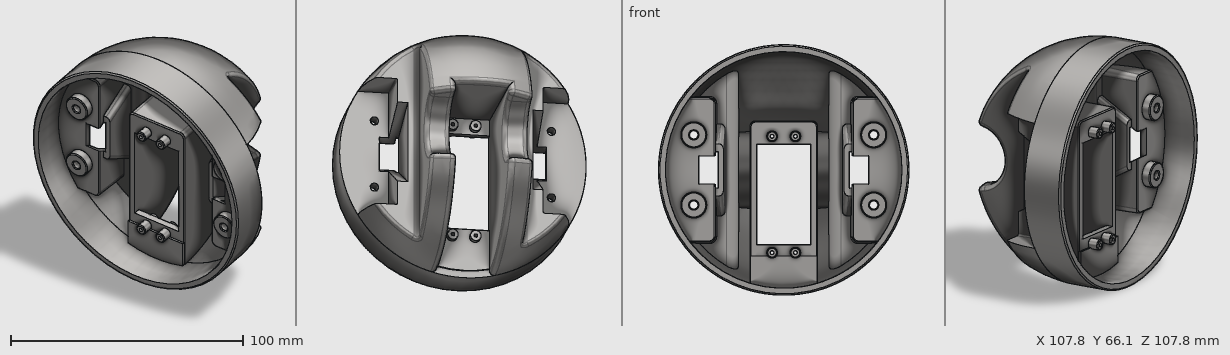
import cadquery as cq
import math

outer_radius = 53.9
wall = 3.0
inner_radius = outer_radius - wall
rim_length = 18.2
rim_chamfer = 0.6
dome_center_y = 16.3
far = 2 * outer_radius
tolerance = 0.001

flank_x = 22.6
flank_draft = 0.7
shelf_y = 36.0
shelf_inner_radius = 2.0
edge_radius = 2.0

notch_radius = 13.4
notch_center_y = 63.4
notch_flare = 14.0

servo_half_width = 11.5
servo_top_z = 18.1
servo_plate_front_y = 16.2
servo_plate_back_y = servo_plate_front_y + wall
servo_corner_radius = 2.5
servo_edge_chamfer = 0.5
foot_top_z = -37.0
foot_front_y = 15.2
foot_inset = 0.2
window_center_z = -10.6
window_height = 43.1

tube_spacing_x = 10.0
tube_spacing_z = 50.0
tube_diameter = 4.6
tube_hole_diameter = 1.5
tube_front_y = 11.4
tube_back_y = 21.7
tube_chamfer = 0.4

plate_front_y = rim_length - wall
pocket_half_height = 28.0
pocket_x = 32.4
pocket_draft = 2.0
pocket_corner_radius = 2.5
pocket_inner_corner_radius = 0.2
plate_chamfer = 0.5

boss_x = 38.7
boss_z = 15.1
boss_diameter = 11.2
boss_hole_diameter = 3.6
boss_front_y = 11.2
boss_chamfer = 0.4

recess_outer_x = 36.5
recess_floor_x = 28.3
recess_slant = 30.0
recess_back_half_height = 18.0
recess_wall = 2.4
recess_corner_radius = 2.0
recess_tilt = 1.0


def block(x_range, y_range, z_range):
    """Axis-aligned box between the given limits."""
    (x0, x1), (y0, y1), (z0, z1) = x_range, y_range, z_range
    return cq.Workplane("XY").box(x1 - x0, y1 - y0, z1 - z0, centered=False).translate((x0, y0, z0))


def rod(x, z, diameter, y0, y1):
    """Cylinder along Y from y0 to y1."""
    return cq.Workplane("XZ", origin=(x, y0, z)).circle(diameter / 2).extrude(y0 - y1)


def both_sides(shape):
    """The shape together with its mirror image in the YZ plane."""
    return shape.union(shape.mirror("YZ"))


def ball(radius):
    """Sphere around the centre of the dome."""
    return cq.Workplane("XY").sphere(radius).translate((0, dome_center_y, 0))


def flank_cut(x, y, radius):
    """Everything outside a drafted flank and behind a shelf, with a rounded foot."""
    top_x = x - (far - y) * math.tan(math.radians(flank_draft))
    cut = (
        cq.Workplane("XY", origin=(0, 0, -far))
        .polyline([(x, y), (far, y), (far, far), (top_x, far)])
        .close()
        .extrude(2 * far)
    )
    foot = cq.selectors.NearestToPointSelector((x, y, 0))
    return both_sides(cut.edges(foot).fillet(radius))


def crown_notch(offset):
    """Trough along X: a round bottom that runs into straight, slightly flared flanks."""
    radius = notch_radius + offset
    flare = math.radians(notch_flare)
    seam_y = notch_center_y - radius * math.sin(flare)
    seam_z = radius * math.cos(flare)
    mouth_z = seam_z + (far - seam_y) * math.tan(flare)
    return (
        cq.Workplane("YZ", origin=(-far, 0, 0))
        .moveTo(far, -mouth_z)
        .lineTo(seam_y, -seam_z)
        .threePointArc((notch_center_y - radius, 0), (seam_y, seam_z))
        .lineTo(far, mouth_z)
        .close()
        .extrude(2 * far)
    )


def edge_points(edge):
    """Sample points along an edge."""
    return [edge.positionAt(t) for t in (0, 1 / 3, 2 / 3, 1)]


def on_dome(edge):
    """True for an edge on the dome surface, apart from the seam with the rim."""
    center = cq.Vector(0, dome_center_y, 0)
    behind_rim = edge.BoundingBox().ymax > rim_length + tolerance
    return behind_rim and all(abs((p - center).Length - outer_radius) < tolerance for p in edge_points(edge))


def on_notch_end(edge):
    """True for an edge where the crown notch meets a flank or a side of the servo slot."""
    notch_bottom_y = notch_center_y - notch_radius
    runs_across = edge.BoundingBox().xlen > wall
    return not runs_across and all(p.y > notch_bottom_y - tolerance for p in edge_points(edge))


def dome_body():
    """Solid dome with flanks, crown notch, servo slot and rounded edges."""
    dome = ball(outer_radius).intersect(block((-far, far), (rim_length, far), (-far, far)))
    dome = dome.cut(flank_cut(flank_x, shelf_y, shelf_inner_radius))
    dome = dome.cut(crown_notch(0))
    dome = dome.cut(block((-servo_half_width, servo_half_width), (0, far), (-far, servo_top_z)))
    rounded = [edge for edge in dome.edges().vals() if on_dome(edge) or on_notch_end(edge)]
    return dome.newObject(rounded).fillet(edge_radius)


def rim_body():
    """Solid rim cylinder with a chamfered front edge."""
    rim = rod(0, 0, 2 * outer_radius, 0, rim_length)
    return rim.faces("<Y").edges().chamfer(rim_chamfer)


def servo_box():
    """Box around the servo slot, with a plain foot reaching the bottom of the shell."""
    half_width = servo_half_width + wall
    box = block((-half_width, half_width), (servo_plate_front_y, far), (-far, servo_top_z + wall))
    box = box.edges("|Y and >Z").fillet(servo_corner_radius)
    box = box.faces("<Y").edges().chamfer(servo_edge_chamfer)
    foot_half_width = half_width - foot_inset
    foot = block((-foot_half_width, foot_half_width), (foot_front_y, far), (-far, foot_top_z))
    return box.union(foot)


def tapered_pocket(x, half_height, front_y, corner_radius):
    """Drafted block from front_y back to the shelf, reaching from x past the outside of the body."""
    return (
        cq.Workplane("XZ", origin=(0, front_y, 0))
        .center((x + far) / 2, 0)
        .sketch()
        .rect(far - x, 2 * half_height)
        .vertices()
        .fillet(corner_radius)
        .finalize()
        .extrude(front_y - shelf_y, taper=-pocket_draft)
    )


def pocket_box():
    """Wall block around the right-hand pocket; its front is the mounting plate."""
    box = tapered_pocket(pocket_x - wall, pocket_half_height + wall, plate_front_y, pocket_corner_radius)
    return box.faces("<Y").edges().chamfer(plate_chamfer)


def recess_block(front_y, floor_x, outer_x, offset):
    """Wedge-shaped block, narrow in front, its floor tilting towards the middle of the part."""
    slant = math.radians(recess_slant)
    back = recess_back_half_height + offset / math.cos(slant)
    front = back - (shelf_y - front_y) * math.tan(slant)
    wedge = (
        cq.Workplane("YZ")
        .polyline([(front_y, -front), (shelf_y, -back), (shelf_y, back), (front_y, front)])
        .close()
        .extrude(outer_x)
    )
    floor_cut = (
        cq.Workplane("XY", origin=(0, 0, -far))
        .polyline([(0, front_y), (floor_x, front_y), (floor_x - recess_tilt, shelf_y), (0, shelf_y)])
        .close()
        .extrude(2 * far)
    )
    return wedge.cut(floor_cut)


def recess_bump():
    """Wall block around the right-hand cable recess, with rounded long corners."""
    floor_x = recess_floor_x - recess_wall
    bump = recess_block(rim_length, floor_x, pocket_x, wall)
    long_corners = bump.edges("not #Y").edges("not #Z").edges("<X")
    return long_corners.fillet(recess_corner_radius)


cavity = ball(inner_radius).intersect(block((-far, far), (rim_length, far), (-far, far)))
cavity = cavity.union(rod(0, 0, 2 * inner_radius, 0, rim_length))
cavity = cavity.cut(flank_cut(flank_x - wall, shelf_y - wall, shelf_inner_radius + wall))
cavity = cavity.cut(crown_notch(wall))
cavity = cavity.cut(servo_box())
cavity = cavity.cut(both_sides(pocket_box()))
cavity = cavity.cut(both_sides(recess_bump()))
body = rim_body().union(dome_body()).cut(cavity)

pocket = tapered_pocket(pocket_x, pocket_half_height, rim_length, pocket_inner_corner_radius)
recess = recess_block(plate_front_y, recess_floor_x, recess_outer_x, 0)
for opening in (pocket, recess):
    body = body.cut(both_sides(opening))

servo_plate = block(
    (-servo_half_width, servo_half_width),
    (servo_plate_front_y, servo_plate_back_y),
    (-far, servo_top_z),
)
body = body.union(servo_plate.intersect(rod(0, 0, 2 * inner_radius, 0, far)))
body = body.cut(
    block(
        (-servo_half_width, servo_half_width),
        (0, servo_plate_back_y),
        (window_center_z - window_height / 2, window_center_z + window_height / 2),
    )
)

for x_sign in (-1, 1):
    for z_sign in (-1, 1):
        x = x_sign * tube_spacing_x / 2
        z = window_center_z + z_sign * tube_spacing_z / 2
        tube = rod(x, z, tube_diameter, tube_front_y, tube_back_y).faces("<Y").edges().chamfer(tube_chamfer)
        body = body.union(tube).cut(rod(x, z, tube_hole_diameter, 0, tube_back_y))

        x = x_sign * boss_x
        z = z_sign * boss_z
        hole = rod(x, z, boss_hole_diameter, 0, rim_length)
        boss = rod(x, z, boss_diameter, boss_front_y, rim_length).cut(hole)
        boss = boss.faces("<Y").edges().chamfer(boss_chamfer)
        body = body.cut(hole).union(boss)

result = body